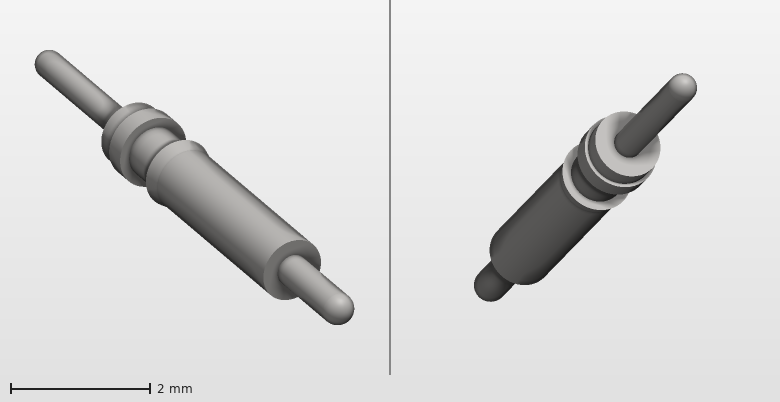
import cadquery as cq
import math


tail_diameter = 0.42
collar_diameter = 0.99
flange_diameter = 1.09
neck_diameter = 0.79
barb_diameter = 1.05
barrel_diameter = 0.95
plunger_diameter = 0.48

overall_length = 8.89
tail_length = 2.61
collar_length = 0.32
flange_length = 0.32
neck_length = 0.72
barb_length = 0.24
barrel_length = 3.11

tail_tip_x = -overall_length / 2
plunger_tip_x = overall_length / 2
collar_x = tail_tip_x + tail_length
flange_x = collar_x + collar_length
neck_x = flange_x + flange_length
barb_x = neck_x + neck_length
barrel_x = barb_x + barb_length
plunger_x = barrel_x + barrel_length


def cylinder(start_x, end_x, diameter):
    """Solid cylinder on the X axis between two stations."""
    return cq.Workplane("YZ", origin=(start_x, 0, 0)).circle(diameter / 2).extrude(end_x - start_x)


def tapered_barb():
    """Cone that narrows from the barb's sharp shoulder to the barrel."""
    profile = (
        cq.Workplane("XZ")
        .moveTo(barb_x, 0)
        .lineTo(barb_x, barb_diameter / 2)
        .lineTo(barrel_x, barrel_diameter / 2)
        .lineTo(barrel_x, 0)
        .close()
    )
    return profile.revolve(360, (0, 0, 0), (1, 0, 0))


def round_nosed_pin(base_x, tip_x, diameter):
    """Pin on the X axis from a flat base to a hemispherical tip, pointing either way."""
    radius = diameter / 2
    direction = 1 if tip_x > base_x else -1
    nose_centre_x = tip_x - direction * radius
    nose_mid = radius * math.cos(math.pi / 4)
    profile = (
        cq.Workplane("XZ")
        .moveTo(base_x, 0)
        .lineTo(base_x, radius)
        .lineTo(nose_centre_x, radius)
        .threePointArc((nose_centre_x + direction * nose_mid, nose_mid), (tip_x, 0))
        .close()
    )
    return profile.revolve(360, (0, 0, 0), (1, 0, 0))


result = (
    round_nosed_pin(collar_x, tail_tip_x, tail_diameter)
    .union(cylinder(collar_x, flange_x, collar_diameter))
    .union(cylinder(flange_x, neck_x, flange_diameter))
    .union(cylinder(neck_x, barb_x, neck_diameter))
    .union(tapered_barb())
    .union(cylinder(barrel_x, plunger_x, barrel_diameter))
    .union(round_nosed_pin(plunger_x, plunger_tip_x, plunger_diameter))
)